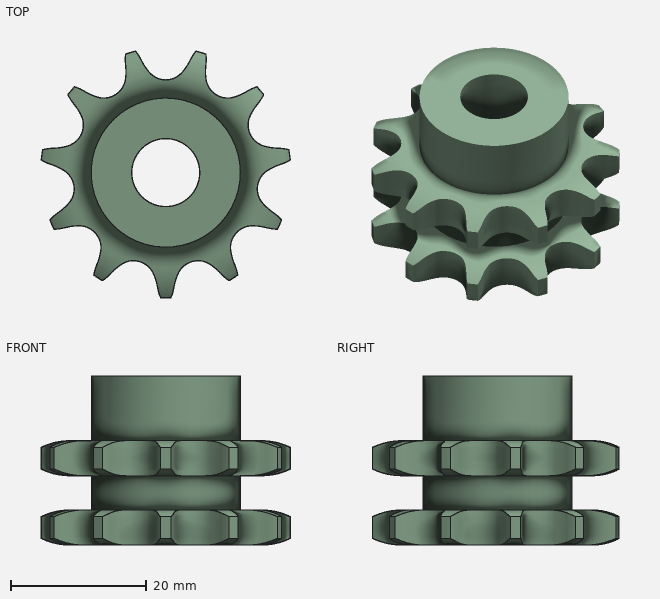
import cadquery as cq
import math


tooth_count = 11
chain_pitch = 9.53
roller_diameter = 6.348
roller_clearance = 0.07
outer_diameter = 37.0
strand_spacing = 10.23
strand_count = 2
disc_thickness = 5.2
disc_side_radius = 9.95
disc_side_depth = 1.0
hub_diameter = 22.0
bore_diameter = 10.0
total_height = 25.0
cutter_overshoot = 1.85

tooth_angle = 360 / tooth_count
outer_radius = outer_diameter / 2
pitch_radius = chain_pitch / (2 * math.sin(math.pi / tooth_count))
cutter_radius = outer_radius + cutter_overshoot
disc_side_width = math.sqrt(disc_side_radius**2 - (disc_side_radius - disc_side_depth) ** 2)

seat_radius = (roller_diameter + roller_clearance) / 2
seat_half_angle = 90 - (35 + 60 / tooth_count)
working_radius = seat_radius + 0.8 * roller_diameter
working_angle = 18 - 56 / tooth_count
topping_offset_angle = 17 - 64 / tooth_count
straight_length = roller_diameter * (
    1.4 * math.sin(math.radians(topping_offset_angle)) - 0.8 * math.sin(math.radians(working_angle))
)
topping_radius = (
    roller_diameter
    * (0.8 * math.cos(math.radians(working_angle)) + 1.4 * math.cos(math.radians(topping_offset_angle)))
    - working_radius
)


def polar_step(point, length, angle):
    """Point at a distance and an angle (degrees from +X) from another point."""
    radians = math.radians(angle)
    return (point[0] + length * math.cos(radians), point[1] + length * math.sin(radians))


def mirrored(point):
    return (-point[0], point[1])


def tooth_gap():
    """Prism of the space between two teeth, centred on +Y."""
    seat_center = (0, pitch_radius)

    seat_end_angle = -90 + seat_half_angle
    root = polar_step(seat_center, seat_radius, -90)
    seat_end = polar_step(seat_center, seat_radius, seat_end_angle)

    working_center = polar_step(seat_end, working_radius, seat_end_angle + 180)
    working_mid = polar_step(working_center, working_radius, seat_end_angle + working_angle / 2)
    flank_normal = seat_end_angle + working_angle
    working_end = polar_step(working_center, working_radius, flank_normal)

    straight_end = polar_step(working_end, straight_length, flank_normal + 90)
    topping_center = polar_step(straight_end, topping_radius, flank_normal)
    center_distance = math.hypot(*topping_center)
    cos_tip = outer_radius**2 + center_distance**2 - topping_radius**2
    cos_tip /= 2 * outer_radius * center_distance
    center_angle = math.degrees(math.atan2(topping_center[1], topping_center[0]))
    tip = polar_step((0, 0), outer_radius, center_angle + math.degrees(math.acos(cos_tip)))
    tip_normal = math.degrees(math.atan2(tip[1] - topping_center[1], tip[0] - topping_center[0])) % 360
    topping_mid_angle = (flank_normal + 180 + tip_normal) / 2
    topping_mid = polar_step(topping_center, topping_radius, topping_mid_angle)

    outside = (tip[0] * cutter_radius / outer_radius, tip[1] * cutter_radius / outer_radius)

    return (
        cq.Workplane("XY")
        .moveTo(*seat_end)
        .threePointArc(working_mid, working_end)
        .lineTo(*straight_end)
        .threePointArc(topping_mid, tip)
        .lineTo(*outside)
        .lineTo(*mirrored(outside))
        .lineTo(*mirrored(tip))
        .threePointArc(mirrored(topping_mid), mirrored(straight_end))
        .lineTo(*mirrored(working_end))
        .threePointArc(mirrored(working_mid), mirrored(seat_end))
        .threePointArc(root, seat_end)
        .close()
        .extrude(disc_thickness)
    )


def toothed_disc():
    """One sprocket strand, standing on Z = 0, with rounded tooth sides."""
    flat_radius = outer_radius - disc_side_width
    side_angle = math.degrees(math.asin(disc_side_width / disc_side_radius))
    lower_mid = polar_step((flat_radius, disc_side_radius), disc_side_radius, -90 + side_angle / 2)
    upper_mid = (lower_mid[0], disc_thickness - lower_mid[1])
    disc = (
        cq.Workplane("XZ")
        .lineTo(flat_radius, 0)
        .threePointArc(lower_mid, (outer_radius, disc_side_depth))
        .lineTo(outer_radius, disc_thickness - disc_side_depth)
        .threePointArc(upper_mid, (flat_radius, disc_thickness))
        .lineTo(0, disc_thickness)
        .close()
        .revolve(360, (0, 0), (0, 1))
    )
    gap = tooth_gap()
    for index in range(tooth_count):
        disc = disc.cut(gap.rotate((0, 0, 0), (0, 0, 1), index * tooth_angle))
    return disc


result = cq.Workplane("XY").circle(hub_diameter / 2).extrude(total_height)
strand = toothed_disc()
for level in range(strand_count):
    result = result.union(strand.translate((0, 0, level * strand_spacing)))
bore = cq.Workplane("XY").circle(bore_diameter / 2).extrude(total_height)
result = result.cut(bore)